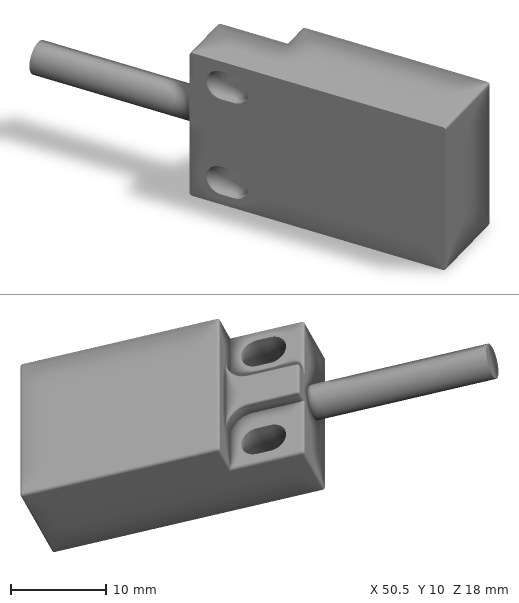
import cadquery as cq

body_length = 30.5
body_depth = 10.0
body_height = 18.0
mount_length = 8.2
mount_depth = 6.5
edge_radius = 0.3

rib_depth = 8.0
rib_width = 4.0
rib_side_radius = 0.2
flare_radius = 2.5

slot_length = 5.0
slot_width = 3.5
slot_spacing = 12.0
slot_center_x = 4.5

cable_length = 20.0
cable_diameter = 3.8
cable_center_y = 3.6


def make_housing():
    """Stepped block with every outer edge rounded except those of the front face."""
    block = (
        cq.Workplane("XY")
        .moveTo(0, 0)
        .lineTo(body_length, 0)
        .lineTo(body_length, body_depth)
        .lineTo(mount_length, body_depth)
        .lineTo(mount_length, mount_depth)
        .lineTo(0, mount_depth)
        .close()
        .extrude(body_height / 2, both=True)
    )
    front_edges = block.faces("<Y").edges()
    inner_corner = block.edges(cq.selectors.NearestToPointSelector((mount_length, mount_depth, 0)))
    outer_edges = block.edges().objects
    kept_sharp = front_edges.objects + inner_corner.objects
    rounded = [edge for edge in outer_edges if not any(edge.isSame(sharp) for sharp in kept_sharp)]
    return block.newObject(rounded).fillet(edge_radius)


def make_rib():
    """Central rib, rooted in the plate and running into the block, with rounded outer edges."""
    half_width = rib_width / 2
    flare_half_width = half_width + flare_radius
    flare_start = mount_length - flare_radius
    root_x = mount_length + 2 * edge_radius
    rib = (
        cq.Workplane("XZ")
        .moveTo(0, -half_width)
        .lineTo(flare_start, -half_width)
        .radiusArc((mount_length, -flare_half_width), flare_radius)
        .lineTo(root_x, -flare_half_width)
        .lineTo(root_x, flare_half_width)
        .lineTo(mount_length, flare_half_width)
        .radiusArc((flare_start, half_width), flare_radius)
        .lineTo(0, half_width)
        .close()
        .extrude(-rib_depth)
    )
    rib = rib.faces("<X").edges("|Y or >Y").fillet(edge_radius)
    return rib.faces(">Y").edges("not(<X or >X)").fillet(rib_side_radius)


def make_slots():
    """Two slots along X through the mounting plate."""
    return (
        cq.Workplane("XZ")
        .pushPoints([(slot_center_x, -slot_spacing / 2), (slot_center_x, slot_spacing / 2)])
        .slot2D(slot_length, slot_width)
        .extrude(-mount_depth)
    )


def make_cable():
    """Round cable projecting from the mounting end along -X."""
    return (
        cq.Workplane("ZY")
        .center(0, cable_center_y)
        .circle(cable_diameter / 2)
        .extrude(cable_length)
    )


result = make_housing().union(make_rib()).cut(make_slots()).union(make_cable())